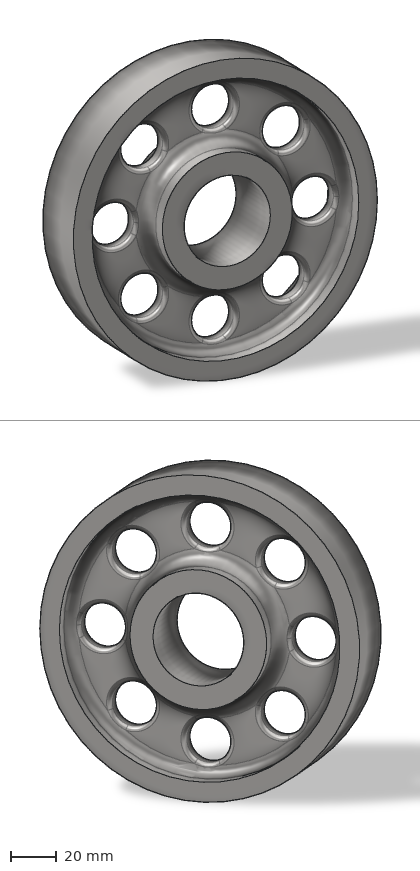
import cadquery as cq
import math

wheel_diameter = 146.0
rim_width = 32.1
rim_inner_diameter = 128.0
hub_length = 36.0
hub_diameter = 62.3
bore_diameter = 41.3

web_thickness = 8.6
rim_fillet = 5.1
hub_fillet = 6.7

hole_count = 8
hole_diameter = 20.1
hole_circle_radius = 48.0
hole_edge_fillet = 2.0

TOLERANCE = 0.001


def disc(diameter, width):
    """Cylinder along X, centred on the origin."""
    return cq.Workplane("YZ", origin=(-width / 2, 0, 0)).circle(diameter / 2).extrude(width)


def hole_centres():
    """(y, z) position of each lightening hole."""
    angles = [2 * math.pi * i / hole_count for i in range(hole_count)]
    return [(hole_circle_radius * math.cos(a), hole_circle_radius * math.sin(a)) for a in angles]


def fillet_web_corner(body, diameter, radius):
    """Round the two circular edges of the given diameter where the web faces end."""

    def is_corner(edge):
        return (
            edge.geomType() == "CIRCLE"
            and abs(edge.radius() - diameter / 2) < TOLERANCE
            and abs(abs(edge.Center().x) - web_thickness / 2) < TOLERANCE
        )

    return body.newObject(body.edges().filter(is_corner).vals()).fillet(radius)


def is_hole_mouth(edge):
    """True for the edges around a hole; the straight seam along the hole is left out."""
    if edge.geomType() == "LINE":
        return False
    points = [edge.positionAt(t) for t in (0.0, 0.5, 1.0)]
    return any(
        all(abs(math.hypot(p.y - y, p.z - z) - hole_diameter / 2) < TOLERANCE for p in points)
        for y, z in hole_centres()
    )


rim = disc(wheel_diameter, rim_width).cut(disc(rim_inner_diameter, rim_width))
web = disc(rim_inner_diameter, web_thickness)
hub = disc(hub_diameter, hub_length)
wheel = rim.union(web).union(hub).cut(disc(bore_diameter, hub_length))
wheel = fillet_web_corner(wheel, rim_inner_diameter, rim_fillet)
wheel = fillet_web_corner(wheel, hub_diameter, hub_fillet)

holes = (
    cq.Workplane("YZ", origin=(-rim_width / 2, 0, 0))
    .pushPoints(hole_centres())
    .circle(hole_diameter / 2)
    .extrude(rim_width)
)
wheel = wheel.cut(holes)
wheel = wheel.newObject(wheel.edges().filter(is_hole_mouth).vals()).fillet(hole_edge_fillet)

result = wheel